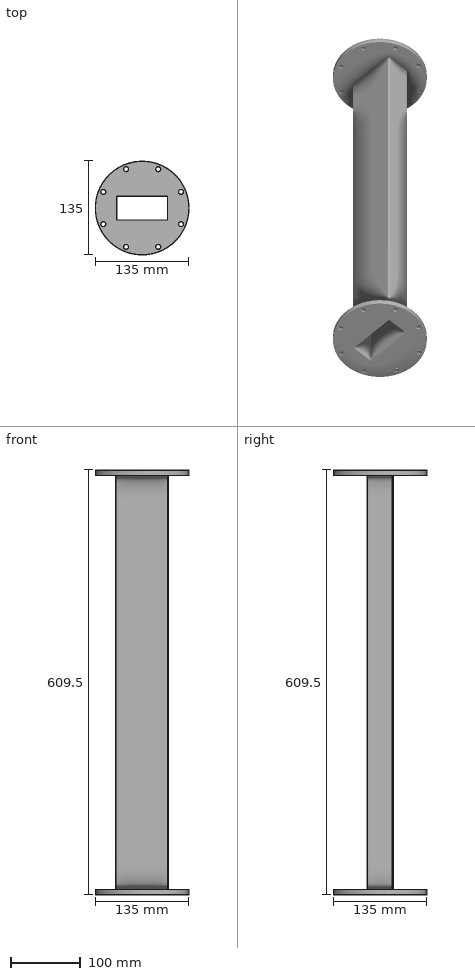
import cadquery as cq

length = 609.5
flange_diameter = 135.0
flange_thickness = 8.0

tube_width = 76.0
tube_depth = 38.0
wall = 2.0
bore_width = tube_width - 2 * wall
bore_depth = tube_depth - 2 * wall
corner_radius = 3.0

hole_count = 8
hole_diameter = 7.0
bolt_circle_radius = 60.5
first_hole_angle = 180 / hole_count


def flange(base_z):
    """Round flange with a ring of bolt holes, resting on height base_z."""
    base = cq.Workplane("XY").workplane(offset=base_z)
    disc = base.circle(flange_diameter / 2).extrude(flange_thickness)
    return (
        disc.faces(">Z")
        .workplane()
        .polarArray(bolt_circle_radius, first_hole_angle, 360, hole_count)
        .hole(hole_diameter)
    )


def tube():
    """Solid tube body with rounded long edges, running between the flanges' outer faces."""
    body = cq.Workplane("XY").rect(tube_width, tube_depth).extrude(length)
    return body.edges("|Z").fillet(corner_radius)


bore = cq.Workplane("XY").rect(bore_width, bore_depth).extrude(length)

result = tube().union(flange(0)).union(flange(length - flange_thickness)).cut(bore)